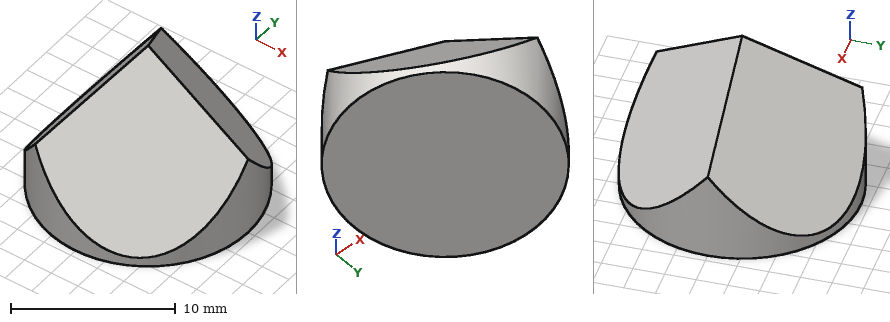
import cadquery as cq
import math

diameter = 15.0
height = 11.3
face_count = 3
face_slope = math.sqrt(2)
clearance = 1.5

radius = diameter / 2
reach = radius + clearance


def face_cutter(angle):
    """Wedge lying above one sloping face; at angle 0 the face falls toward -X."""
    wedge = (
        cq.Workplane("XZ")
        .moveTo(0, height)
        .lineTo(-reach, height - face_slope * reach)
        .lineTo(-reach, height)
        .close()
        .extrude(reach, both=True)
    )
    return wedge.rotate((0, 0, 0), (0, 0, 1), angle)


result = cq.Workplane("XY").circle(radius).extrude(height)
for index in range(face_count):
    result = result.cut(face_cutter(index * 360 / face_count))